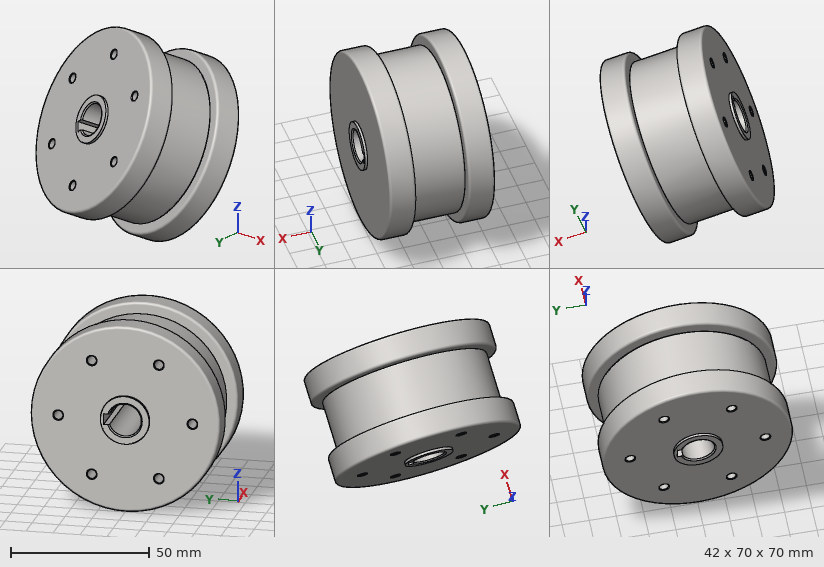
import cadquery as cq
import math

overall_length = 42.0
flange_span = 40.0
drum_length = 20.0
hub_radius = 9.0
flange_radius = 35.0
flange_round = 1.0
drum_radius = 31.0
drum_round = 0.7

bore_radius = 6.0
bore_chamfer = 0.5
keyway_width = 4.0
keyway_reach = 7.8

hole_count = 6
hole_circle_radius = 24.85
hole_radius = 1.7
hole_chamfer = 0.3
hole_depth = 10.0
drill_point_angle = 118.0

end_face = overall_length / 2
flange_outer_face = flange_span / 2
flange_inner_face = drum_length / 2
flange_width = flange_outer_face - flange_inner_face


def cylinder_along_x(start, length, radius):
    return cq.Workplane("YZ", origin=(start, 0, 0)).circle(radius).extrude(length)


def flange(start):
    """Flange disc with both rims rounded."""
    return cylinder_along_x(start, flange_width, flange_radius).edges().fillet(flange_round)


def roller_body():
    hub = cylinder_along_x(-end_face, overall_length, hub_radius)
    drum = cylinder_along_x(-flange_inner_face, drum_length, drum_radius).edges().fillet(drum_round)
    left_flange = flange(-flange_outer_face)
    right_flange = flange(flange_inner_face)
    return hub.union(drum).union(left_flange).union(right_flange)


def bore_cutter():
    """Revolved bore, widened by a chamfer at both ends."""
    mouth_radius = bore_radius + bore_chamfer
    chamfer_start = end_face - bore_chamfer
    return (
        cq.Workplane("XY")
        .moveTo(-end_face, 0)
        .lineTo(-end_face, mouth_radius)
        .lineTo(-chamfer_start, bore_radius)
        .lineTo(chamfer_start, bore_radius)
        .lineTo(end_face, mouth_radius)
        .lineTo(end_face, 0)
        .close()
        .revolve(360, (0, 0, 0), (1, 0, 0))
    )


def keyway_cutter():
    return cq.Workplane("XY").box(
        overall_length, keyway_reach, keyway_width, centered=(True, False, True)
    )


def hole_cutter(angle):
    """Chamfered hole with a conical drill point, entering from the -X flange face."""
    mouth = -flange_outer_face
    shoulder = mouth + hole_depth
    point_length = hole_radius / math.tan(math.radians(drill_point_angle / 2))
    return (
        cq.Workplane("XY")
        .moveTo(mouth, 0)
        .lineTo(mouth, hole_radius + hole_chamfer)
        .lineTo(mouth + hole_chamfer, hole_radius)
        .lineTo(shoulder, hole_radius)
        .lineTo(shoulder + point_length, 0)
        .close()
        .revolve(360, (0, 0, 0), (1, 0, 0))
        .translate((0, hole_circle_radius, 0))
        .rotate((0, 0, 0), (1, 0, 0), angle)
    )


result = roller_body().cut(bore_cutter()).cut(keyway_cutter())
for index in range(hole_count):
    result = result.cut(hole_cutter(index * 360 / hole_count))